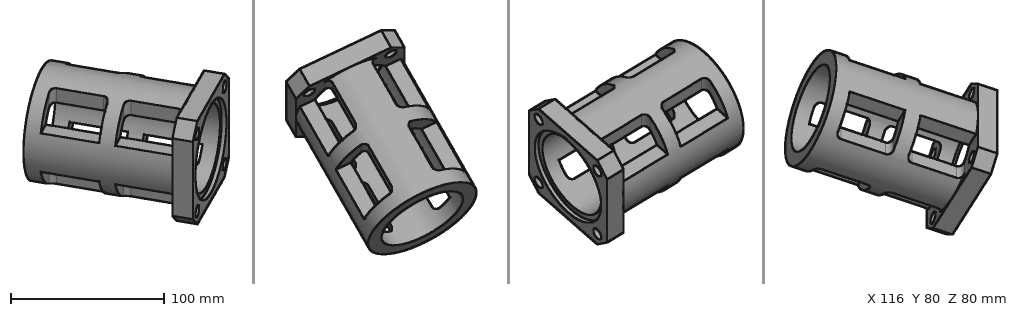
import cadquery as cq

length = 116.0
outer_diameter = 80.0
bore_diameter = 60.0

flange_thickness = 14.0
flange_chamfer = 10.0
bolt_offset = 30.0
bolt_hole_diameter = 8.2

recess_diameter = 68.0
recess_depth = 3.2

ring_width = 11.0
window_rows = 2
rail_half_width = 15.0
window_corner_radius = 4.0

tube_length = length - flange_thickness
window_length = tube_length / window_rows - ring_width
outer_radius = outer_diameter / 2


def make_tube():
    return cq.Workplane("YZ").circle(outer_radius).extrude(tube_length)


def make_flange():
    return (
        cq.Workplane("YZ", origin=(tube_length, 0, 0))
        .rect(outer_diameter, outer_diameter)
        .extrude(flange_thickness)
        .edges("|X")
        .chamfer(flange_chamfer)
        .faces(">X")
        .workplane()
        .rect(2 * bolt_offset, 2 * bolt_offset, forConstruction=True)
        .vertices()
        .hole(bolt_hole_diameter)
    )


def make_window(start_x, y_side, z_side):
    """Corner block that opens one quadrant, rounded beside the upper and lower rails."""
    block = cq.Workplane("XY").box(window_length, outer_radius, outer_radius, centered=False)
    block = block.edges("|Z and <Y").fillet(window_corner_radius)
    block = block.translate((start_x, rail_half_width, rail_half_width))
    if y_side < 0:
        block = block.mirror("XZ")
    if z_side < 0:
        block = block.mirror("XY")
    return block


tube = make_tube()
for row in range(window_rows):
    window_start = ring_width + row * (window_length + ring_width)
    for y_side in (-1, 1):
        for z_side in (-1, 1):
            tube = tube.cut(make_window(window_start, y_side, z_side))

bore = cq.Workplane("YZ").circle(bore_diameter / 2).extrude(length)
recess = (
    cq.Workplane("YZ", origin=(length - recess_depth, 0, 0))
    .circle(recess_diameter / 2)
    .extrude(recess_depth)
)
result = tube.union(make_flange()).cut(bore).cut(recess)